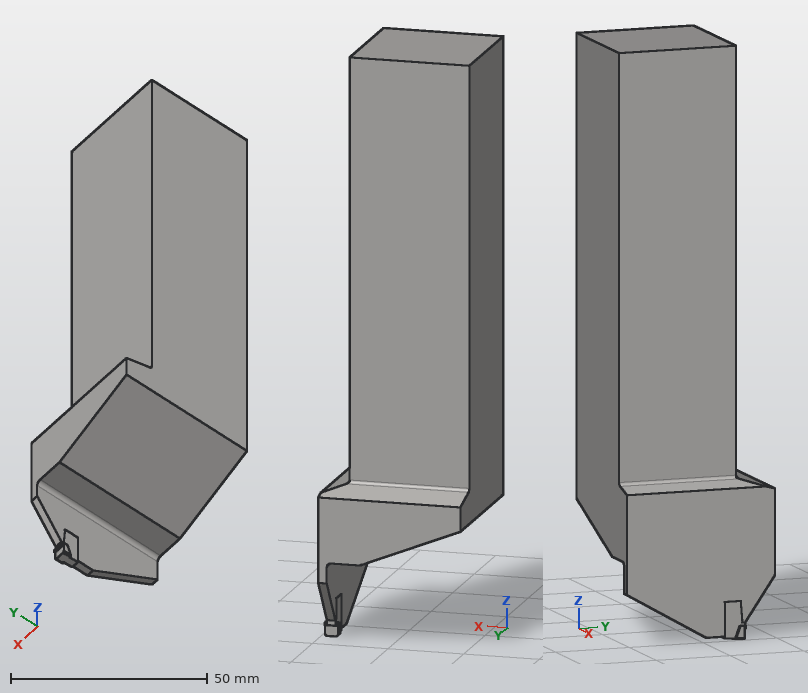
import cadquery as cq
import math

length = 152.4
shank_width = 31.7
head_width_x = 37.6
head_width_y = 40.1

shoulder_top = 40.7
shoulder_angle = 15.0
shoulder_fillet = 0.9

side_bottom = 32.0
head_bottom = 21.3
head_flat_start = 26.5
blade_left = 35.4
blade_fillet = 1.2
blade_bottom = 0.9
blade_front_top = 13.3
blade_front_foot = 21.5
blade_back_top = 16.0

insert_front = 26.5
insert_top = 9.9
insert_top_back = 30.8
insert_neck_back = 31.2
insert_back = 32.0
insert_heel = 0.5
rake_top = 4.3
rake_bottom = 2.9
tip_edge = 31.7

tip_overhang = 0.6
tip_top = 3.5
tip_top_front = 30.5
tip_foot_front = 29.3
tip_corner = 0.5


def extrude_along_x(points, start, end):
    """Extrude a (Y, Z) outline between two X positions."""
    return cq.Workplane("YZ").workplane(offset=start).polyline(points).close().extrude(end - start)


def shoulder_drop(head_width):
    return (head_width - shank_width) * math.tan(math.radians(shoulder_angle))


def fillet_corner(body, x, y, z, axis, radius):
    """Round the single edge along the given axis nearest to a point."""
    return body.edges("|" + axis).edges(cq.selectors.NearestToPointSelector((x, y, z))).fillet(radius)


def make_front_prism():
    """Front outline: shank, right shoulder, tapered underside and blade."""
    outline = [
        (0, length),
        (shank_width, length),
        (shank_width, shoulder_top),
        (head_width_x, shoulder_top - shoulder_drop(head_width_x)),
        (head_width_x, blade_bottom),
        (blade_left, blade_bottom),
        (blade_left, head_bottom),
        (head_flat_start, head_bottom),
        (0, side_bottom),
    ]
    prism = cq.Workplane("XZ").polyline(outline).close().extrude(-head_width_y)
    middle = head_width_y / 2
    prism = fillet_corner(prism, shank_width, middle, shoulder_top, "Y", shoulder_fillet)
    return fillet_corner(prism, blade_left, middle, head_bottom, "Y", blade_fillet)


def make_side_prism():
    """Side outline: shank, back shoulder and pointed blade."""
    outline = [
        (0, length),
        (shank_width, length),
        (shank_width, shoulder_top),
        (head_width_y, shoulder_top - shoulder_drop(head_width_y)),
        (head_width_y, blade_back_top),
        (insert_back, rake_top),
        (insert_front, blade_bottom),
        (blade_front_foot, blade_bottom),
        (0, blade_front_top),
    ]
    prism = extrude_along_x(outline, 0, head_width_x)
    return fillet_corner(prism, head_width_x / 2, shank_width, shoulder_top, "X", shoulder_fillet)


def make_insert_body():
    """Seated part of the insert, flush with both faces of the blade."""
    outline = [
        (insert_front, insert_heel),
        (insert_front, insert_top),
        (insert_top_back, insert_top),
        (insert_neck_back, rake_top),
        (insert_back, rake_top),
        (insert_back, rake_bottom),
        (tip_edge, rake_bottom),
        (tip_edge, 0),
    ]
    return extrude_along_x(outline, blade_left, head_width_x)


def make_tip():
    """Wide cutting tip with bevelled lower corners."""
    outline = [
        (tip_edge, 0),
        (tip_foot_front, insert_heel * (tip_edge - tip_foot_front) / (tip_edge - insert_front)),
        (tip_top_front, tip_top),
        (insert_back, tip_top),
        (insert_back, rake_bottom),
        (tip_edge, rake_bottom),
    ]
    left = blade_left - tip_overhang
    right = head_width_x + tip_overhang
    tip = extrude_along_x(outline, left, right)
    front_outline = [
        (left, tip_top),
        (left, tip_corner),
        (left + tip_corner, 0),
        (right - tip_corner, 0),
        (right, tip_corner),
        (right, tip_top),
    ]
    envelope = cq.Workplane("XZ").polyline(front_outline).close().extrude(-head_width_y)
    return tip.intersect(envelope)


insert = make_insert_body().union(make_tip()).solids()
holder = make_front_prism().intersect(make_side_prism()).cut(insert).solids()

result = cq.Compound.makeCompound([holder.val(), insert.val()])